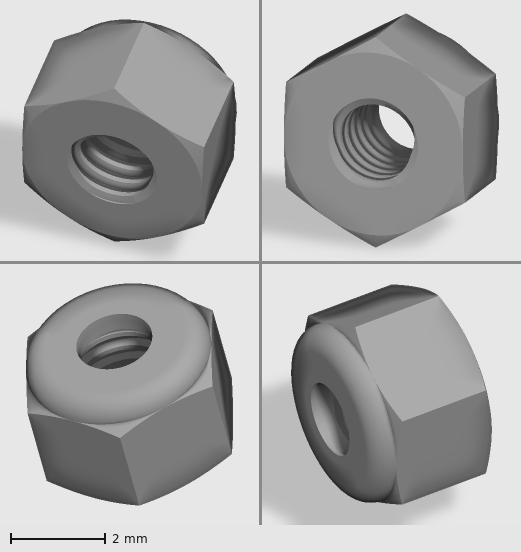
import cadquery as cq
import math


corner_diameter = 4.62
hex_height = 2.335
corner_chamfer_angle = 25.0

total_height = 2.8
collar_bore_radius = 0.822

thread_major_radius = 1.0
thread_minor_radius = 0.835
pitch = 0.4
groove_floor_width = 0.115
flank_width = 0.085
groove_lean_angle = 12.4
first_groove_y = -0.24
mouth_depth = 0.06

corner_radius = corner_diameter / 2
flat_radius = corner_radius * math.cos(math.radians(30))
corner_chamfer_height = (corner_radius - flat_radius) * math.tan(math.radians(corner_chamfer_angle))
collar_height = total_height - hex_height
groove_lean = math.tan(math.radians(groove_lean_angle))


def turned(outline):
    """Solid of revolution about Y from a closed outline of (y, radius) points."""
    return cq.Workplane("YZ").polyline(outline).close().revolve(360, (0, 0, 0), (1, 0, 0))


def make_hexagon():
    """Hexagonal prism with corners on Z, its corners chamfered at both ends."""
    prism = (
        cq.Workplane("XZ")
        .polygon(6, corner_diameter)
        .extrude(-hex_height)
        .rotate((0, 0, 0), (0, 1, 0), 90)
    )
    chamfer_envelope = turned([
        (0, 0),
        (0, flat_radius),
        (corner_chamfer_height, corner_radius),
        (hex_height - corner_chamfer_height, corner_radius),
        (hex_height, flat_radius),
        (hex_height, 0),
    ])
    return prism.intersect(chamfer_envelope)


def make_bore():
    """Minor-diameter hole through the hexagon, countersunk to the major diameter in front."""
    return turned([
        (0, 0),
        (0, thread_major_radius),
        (mouth_depth, thread_minor_radius),
        (hex_height, thread_minor_radius),
        (hex_height, 0),
    ])


def make_groove():
    """Trapezoidal ring groove, sheared along Y so that its +Z side lies further forward."""
    half_floor = groove_floor_width / 2
    half_mouth = half_floor + flank_width
    ring = turned([
        (-half_mouth, 0),
        (-half_mouth, thread_minor_radius),
        (-half_floor, thread_major_radius),
        (half_floor, thread_major_radius),
        (half_mouth, thread_minor_radius),
        (half_mouth, 0),
    ])
    shear = cq.Matrix([
        [1, 0, 0, 0],
        [0, 1, -groove_lean, 0],
        [0, 0, 1, 0],
    ])
    return cq.Workplane(ring.val().transformGeometry(shear))


def make_nut():
    """Chamfered hexagon with a grooved thread along its whole bore."""
    nut = make_hexagon().cut(make_bore())
    groove = make_groove()
    groove_reach = thread_major_radius * groove_lean + groove_floor_width / 2
    groove_count = math.ceil((hex_height + groove_reach - first_groove_y) / pitch)
    for index in range(groove_count):
        nut = nut.cut(groove.translate((0, first_groove_y + index * pitch, 0)))
    return nut


def make_collar():
    """Plain-bored ring whose outer edge is rounded over its full height."""
    arc_offset = collar_height * math.sqrt(0.5)
    arc_centre_radius = flat_radius - collar_height
    return (
        cq.Workplane("YZ")
        .moveTo(hex_height, collar_bore_radius)
        .lineTo(hex_height, flat_radius)
        .threePointArc(
            (hex_height + arc_offset, arc_centre_radius + arc_offset),
            (total_height, arc_centre_radius),
        )
        .lineTo(total_height, collar_bore_radius)
        .close()
        .revolve(360, (0, 0, 0), (1, 0, 0))
    )


nut = make_nut()
collar = make_collar()

result = cq.Compound.makeCompound([nut.val(), collar.val()])